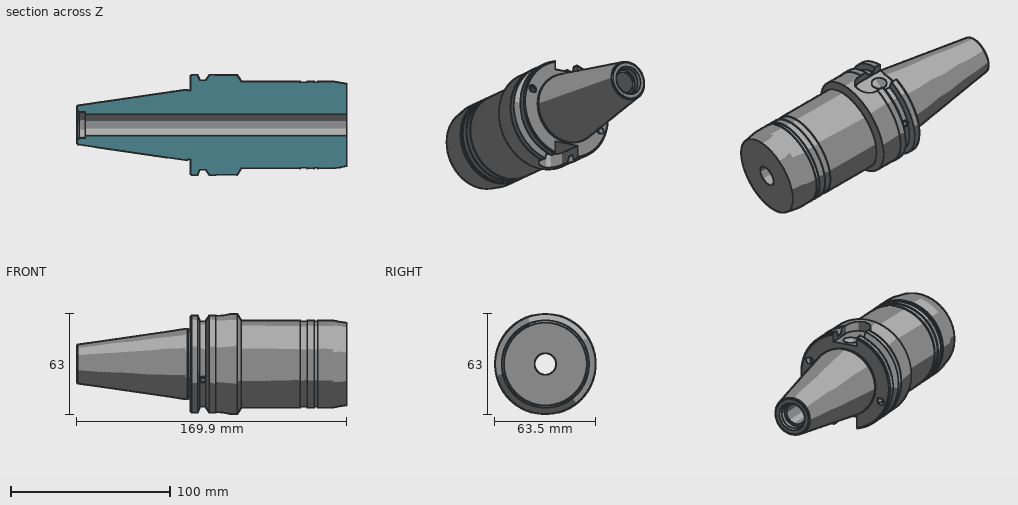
import cadquery as cq
import math


gauge_diameter = 44.45
taper_ratio = 7 / 24
taper_length = 68.25
small_end_diameter = gauge_diameter - taper_ratio * taper_length
small_end_chamfer = 0.7
gauge_land_end = 1.2
neck_diameter = 43.6
neck_start = 1.9

flange_face = 3.18
flange_diameter = 63.5
flange_end = 19.05
flange_chamfer = 0.8
groove_floor_diameter = 56.5
groove_floor_start = 9.2
groove_floor_end = 12.7
groove_center = (groove_floor_start + groove_floor_end) / 2
groove_front_wall = 1.45
groove_rear_wall = 2.3
collar_diameter = 63
collar_end = 32.7
collar_chamfer_end = 35.2

body_diameter = 55
body_groove_diameter = 54
body_groove_spans = [(72.3, 76.6), (81.1, 83.3)]
nose_taper_start = 92.8
nose_diameter = 52
nose_end = 101.6

bore_diameter = 13.39
counterbore_diameter = 16.3
counterbore_depth = 5.3
countersink_diameter = 18.1
countersink_angle = 60

slot_width = 16.6
slot_end_center = 20
upper_slot_floor = 25
lower_slot_floor = 22.6
dimple_diameter = 9.53
dimple_angle = 118

coolant_angle = 20.4
coolant_mouth_radius = 27
coolant_tilt = 35
coolant_mouth_diameter = 4.2
coolant_mouth_depth = 2
plug_mouth_diameter = 4
plug_mouth_depth = 0.7
passage_diameter = 3.24


def revolve_about_x(points):
    """Revolve an (x, radius) outline about the X axis."""
    return cq.Workplane("XY").polyline(points).close().revolve(360, (0, 0, 0), (1, 0, 0))


def holder_blank():
    flange_radius = flange_diameter / 2
    floor_radius = groove_floor_diameter / 2
    body_radius = body_diameter / 2
    small_end_radius = small_end_diameter / 2
    return revolve_about_x([
        (-taper_length, 0),
        (-taper_length, small_end_radius - small_end_chamfer),
        (-taper_length + small_end_chamfer, small_end_radius + small_end_chamfer * taper_ratio / 2),
        (0, gauge_diameter / 2),
        (gauge_land_end, gauge_diameter / 2),
        (neck_start, neck_diameter / 2),
        (flange_face, neck_diameter / 2),
        (flange_face, flange_radius - flange_chamfer),
        (flange_face + flange_chamfer, flange_radius),
        (groove_floor_start - groove_front_wall, flange_radius),
        (groove_floor_start, floor_radius),
        (groove_floor_end, floor_radius),
        (groove_floor_end + groove_rear_wall, flange_radius),
        (flange_end, flange_radius),
        (flange_end, collar_diameter / 2),
        (collar_end, collar_diameter / 2),
        (collar_chamfer_end, body_radius),
        (nose_taper_start, body_radius),
        (nose_end, nose_diameter / 2),
        (nose_end, 0),
    ])


def body_groove(start, end):
    outer = body_diameter / 2
    floor = body_groove_diameter / 2
    return revolve_about_x([
        (start, outer),
        (start, floor),
        (end, floor),
        (end, outer),
    ])


def axial_bore():
    bore_radius = bore_diameter / 2
    counterbore_radius = counterbore_diameter / 2
    countersink_radius = countersink_diameter / 2
    countersink_depth = (countersink_radius - counterbore_radius) / math.tan(math.radians(countersink_angle / 2))
    return revolve_about_x([
        (-taper_length, 0),
        (-taper_length, countersink_radius),
        (-taper_length + countersink_depth, counterbore_radius),
        (-taper_length + counterbore_depth, counterbore_radius),
        (-taper_length + counterbore_depth, bore_radius),
        (nose_end, bore_radius),
        (nose_end, 0),
    ])


def drive_slot(floor, side):
    """Round-ended slot open at the flange face; side is +1 for the top and -1 for the bottom."""
    straight_length = slot_end_center - flange_face
    depth = flange_diameter / 2 - floor
    plane = cq.Workplane("XY").workplane(offset=side * floor)
    channel = plane.center(flange_face + straight_length / 2, 0).rect(straight_length, slot_width)
    channel = channel.extrude(side * depth)
    plane = cq.Workplane("XY").workplane(offset=side * floor)
    round_end = plane.center(slot_end_center, 0).circle(slot_width / 2).extrude(side * depth)
    return channel.union(round_end)


def slot_dimple():
    radius = dimple_diameter / 2
    depth = radius / math.tan(math.radians(dimple_angle / 2))
    return cq.Workplane(
        cq.Solid.makeCone(radius, 0, depth, cq.Vector(groove_center, 0, upper_slot_floor), cq.Vector(0, 0, -1))
    )


def cylinder_between(start, end, diameter):
    axis = end - start
    return cq.Workplane(cq.Solid.makeCylinder(diameter / 2, axis.Length, start, axis))


def coolant_passage():
    """Passage in the XY plane on the +Y side, before it is turned about X."""
    tilt = math.radians(coolant_tilt)
    direction = cq.Vector(math.cos(tilt), -math.sin(tilt), 0)
    face_center = cq.Vector(flange_face, coolant_mouth_radius, 0)
    meeting_length = (groove_center - flange_face) / math.cos(tilt)
    meeting_point = face_center + direction * meeting_length
    groove_opening = cq.Vector(groove_center, groove_floor_diameter / 2, 0)
    inward = cq.Vector(0, -1, 0)

    mouth_start = face_center - direction * coolant_mouth_diameter
    mouth_end = face_center + direction * coolant_mouth_depth
    tilted_end = meeting_point + direction * passage_diameter
    plug_mouth_start = groove_opening - inward * plug_mouth_diameter
    plug_mouth_end = groove_opening + inward * plug_mouth_depth

    passage = cylinder_between(mouth_start, mouth_end, coolant_mouth_diameter)
    passage = passage.union(cylinder_between(face_center, tilted_end, passage_diameter))
    passage = passage.union(cylinder_between(plug_mouth_start, plug_mouth_end, plug_mouth_diameter))
    return passage.union(cylinder_between(groove_opening, meeting_point, passage_diameter))


result = holder_blank()
for groove_start, groove_end in body_groove_spans:
    result = result.cut(body_groove(groove_start, groove_end))
result = result.cut(axial_bore())
result = result.cut(drive_slot(upper_slot_floor, 1))
result = result.cut(drive_slot(lower_slot_floor, -1))
result = result.cut(slot_dimple())
for turn in (coolant_angle, coolant_angle + 180):
    result = result.cut(coolant_passage().rotate((0, 0, 0), (1, 0, 0), turn))